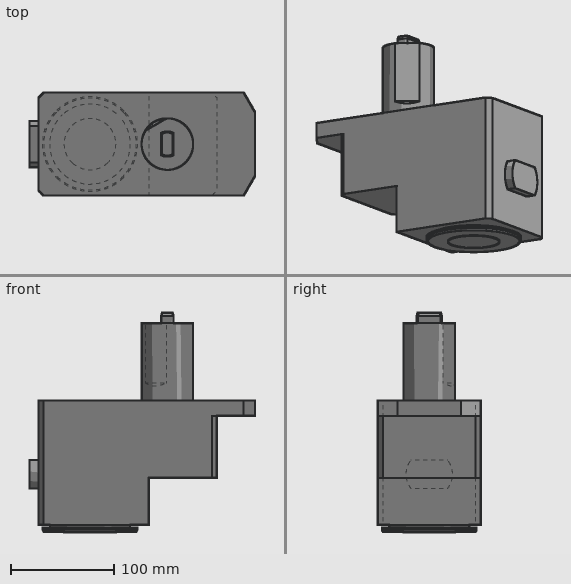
import cadquery as cq
import math


width = 100.0
rear_x = -125.0
flange_front_x = 85.0
flange_bottom_z = -15.0
flange_corner_x = 11.0
flange_corner_angle = 60.0
flange_corner_y = flange_corner_x * math.tan(math.radians(flange_corner_angle))
middle_front_x = 48.0
middle_bottom_z = -75.0
head_front_x = -18.0
head_bottom_z = -120.7
corner_chamfer = 5.0

shank_diameter = 50.0
shank_length = 75.0
flat_distance = 22.0
flat_bottom_z = 17.0
flat_direction = 120.0
flat_floor_angle = 45.0

tang_diameter = 24.5
tang_thickness = 12.0
tang_height = 10.0
tang_chamfer_height = 3.0
tang_chamfer_inset = 1.0

boss_diameter = 45.0
boss_height = 28.0
boss_length = 8.7
boss_z = -71.6

cover_x = -75.0
neck_diameter = 78.0
neck_height = 2.7
rim_diameter = 92.0
rim_height = 1.7
rim_taper_height = 2.2
rim_lower_diameter = 89.5
pad_diameter = 50.0
overall_bottom_z = -128.0


def block(front_x, bottom_z):
    """Full-width block from the rear face to front_x, below the seating face."""
    return (
        cq.Workplane("XY")
        .box(front_x - rear_x, width, -bottom_z, centered=(False, True, False))
        .translate((rear_x, 0, bottom_z))
    )


def make_housing():
    half = width / 2
    flange = (
        block(flange_front_x, flange_bottom_z)
        .edges("|Z and <X")
        .chamfer(corner_chamfer)
    )
    corner = (
        cq.Workplane("XY")
        .moveTo(flange_front_x - flange_corner_x, half)
        .lineTo(flange_front_x, half)
        .lineTo(flange_front_x, half - flange_corner_y)
        .close()
        .extrude(flange_bottom_z)
    )
    flange = flange.cut(corner).cut(corner.mirror("XZ"))
    middle = block(middle_front_x, middle_bottom_z).edges("|Z").chamfer(corner_chamfer)
    head = block(head_front_x, head_bottom_z).edges("|Z and <X").chamfer(corner_chamfer)
    return flange.union(middle).union(head)


def make_shank():
    shank = cq.Workplane("XY").circle(shank_diameter / 2).extrude(shank_length)
    cut_depth = shank_diameter / 2
    floor_drop = cut_depth * math.tan(math.radians(flat_floor_angle))
    outer = flat_distance + cut_depth
    cutter = (
        cq.Workplane("XZ")
        .moveTo(flat_distance, flat_bottom_z)
        .lineTo(outer, flat_bottom_z - floor_drop)
        .lineTo(outer, shank_length)
        .lineTo(flat_distance, shank_length)
        .close()
        .extrude(shank_diameter / 2, both=True)
        .rotate((0, 0, 0), (0, 0, 1), flat_direction)
    )
    return shank.cut(cutter)


def tang_outline(inset):
    """Tang section: parallel sides with ends curved about the shank axis."""
    half_thickness = tang_thickness / 2 - inset
    radius = tang_diameter / 2 - inset
    half_side = math.sqrt(radius**2 - half_thickness**2)
    return (
        cq.Sketch()
        .segment((half_thickness, -half_side), (half_thickness, half_side))
        .arc((half_thickness, half_side), (0, radius), (-half_thickness, half_side))
        .segment((-half_thickness, half_side), (-half_thickness, -half_side))
        .arc((-half_thickness, -half_side), (0, -radius), (half_thickness, -half_side))
        .assemble()
    )


def make_tang():
    chamfer_start_z = tang_height - tang_chamfer_height
    base = cq.Workplane("XY").placeSketch(tang_outline(0)).extrude(chamfer_start_z)
    lower_section = tang_outline(0).moved(cq.Location((0, 0, chamfer_start_z)))
    upper_section = tang_outline(tang_chamfer_inset).moved(cq.Location((0, 0, tang_height)))
    tip = cq.Workplane("XY").placeSketch(lower_section, upper_section).loft()
    return base.union(tip).translate((0, 0, shank_length))


def make_boss():
    slab = cq.Workplane("YZ").rect(boss_diameter, boss_height).extrude(-boss_length)
    boss = cq.Workplane("YZ").circle(boss_diameter / 2).extrude(-boss_length).intersect(slab)
    return boss.translate((rear_x, 0, boss_z))


def make_cover():
    rim_top_z = head_bottom_z - neck_height
    taper_top_z = rim_top_z - rim_height
    taper_bottom_z = taper_top_z - rim_taper_height
    return (
        cq.Workplane("XZ")
        .moveTo(0, head_bottom_z)
        .lineTo(neck_diameter / 2, head_bottom_z)
        .lineTo(neck_diameter / 2, rim_top_z)
        .lineTo(rim_diameter / 2, rim_top_z)
        .lineTo(rim_diameter / 2, taper_top_z)
        .lineTo(rim_lower_diameter / 2, taper_bottom_z)
        .lineTo(pad_diameter / 2, taper_bottom_z)
        .lineTo(pad_diameter / 2, overall_bottom_z)
        .lineTo(0, overall_bottom_z)
        .close()
        .revolve(360, (0, 0, 0), (0, 1, 0))
        .translate((cover_x, 0, 0))
    )


result = (
    make_housing()
    .union(make_shank())
    .union(make_tang())
    .union(make_boss())
    .union(make_cover())
)